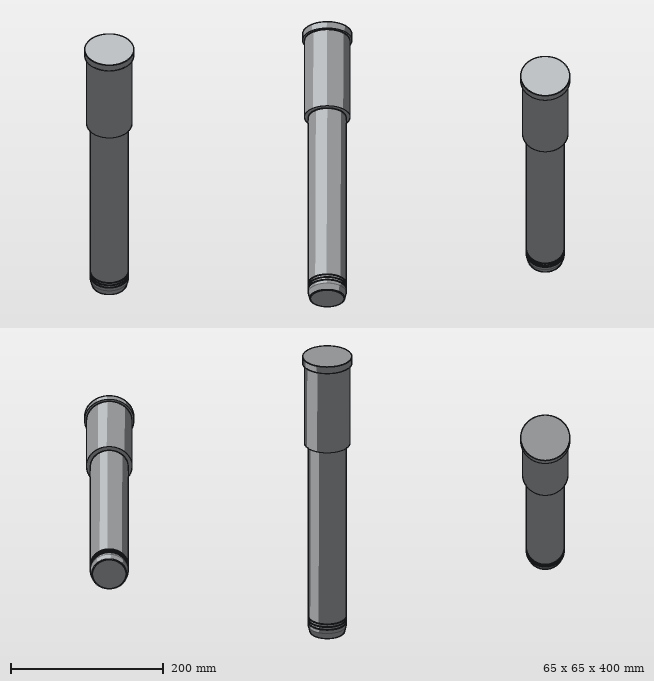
import cadquery as cq

total_length = 400.0

head_diameter = 65.0
head_height = 10.0
head_chamfer = 0.5
sleeve_diameter = 60.0
sleeve_bottom = 274.0

shank_diameter = 50.0
tip_diameter = 45.5
lead_in_height = 9.0
tip_chamfer = 1.0

groove_width = 1.0
groove_depth = 0.5
groove_count = 3
groove_pitch = 4.0
lowest_groove_bottom = 14.0


def cylinder(diameter, bottom, top):
    """Solid cylinder on the Z axis between two heights."""
    return cq.Workplane("XY").workplane(offset=bottom).circle(diameter / 2).extrude(top - bottom)


def lead_in():
    """Cone widening from the chamfered tip to the full shank diameter."""
    cone = (
        cq.Workplane("XY")
        .circle(tip_diameter / 2)
        .workplane(offset=lead_in_height)
        .circle(shank_diameter / 2)
        .loft(ruled=True)
    )
    return cone.faces("<Z").edges().chamfer(tip_chamfer)


def ring_groove(diameter, bottom):
    """Ring of material to remove around a cylinder of the given diameter."""
    top = bottom + groove_width
    core = cylinder(diameter - 2 * groove_depth, bottom, top)
    return cylinder(diameter, bottom, top).cut(core)


head_bottom = total_length - head_height
result = lead_in()
result = result.union(cylinder(shank_diameter, lead_in_height, sleeve_bottom))
result = result.union(cylinder(sleeve_diameter, sleeve_bottom, head_bottom))
head = cylinder(head_diameter, head_bottom, total_length)
result = result.union(head.faces(">Z").edges().chamfer(head_chamfer))

for index in range(groove_count):
    groove_bottom = lowest_groove_bottom + index * groove_pitch
    result = result.cut(ring_groove(shank_diameter, groove_bottom))

result = result.cut(ring_groove(shank_diameter, sleeve_bottom - groove_width))
result = result.cut(ring_groove(sleeve_diameter, head_bottom - groove_width))